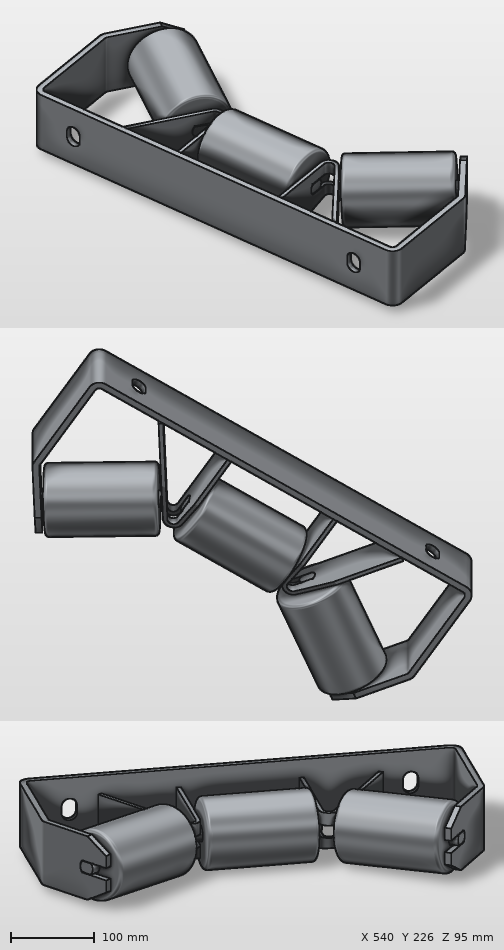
import cadquery as cq
import math

FRAME_WIDTH = 540.0
FRAME_HEIGHT = 81.5
FRAME_THICKNESS = 8.0
FRAME_BEND_RADIUS = 14.0
ARM_BEND_Y = 135.5
ARM_LENGTH = 99.0
ARM_CORNER_LENGTH = 30.0
ARM_CORNER_DEPTH = 17.5
WING_ANGLE = 35.0

MOUNT_SLOT_X = 208.5
MOUNT_SLOT_WIDTH = 19.0
MOUNT_SLOT_LENGTH = 27.5

ROLLER_LENGTH = 136.0
ROLLER_DIAMETER = 89.0
ROLLER_EDGE_RADIUS = 5.0
ROLLER_GAP = 4.5
SHAFT_DIAMETER = 20.0
SHAFT_FLAT_WIDTH = 14.0
COLLAR_LENGTH = 2.5
INNER_AXIS_Z = 34.0
MIDDLE_ROLLER_Y = 101.0

SLOT_WIDTH = 15.5
SLOT_END_RADIUS = 10.0

BRACKET_HEIGHT = 58.5
BRACKET_THICKNESS = 5.5
BRACKET_BEND_RADIUS = 12.5
BRACKET_BEND_Y = 116.5
BRACKET_TAPER_RISE = 9.5
BRACKET_TAPER_START_Y = 80.5

wing = math.radians(WING_ANGLE)
outward = cq.Vector(math.cos(wing), math.sin(wing), 0)
arm_direction = cq.Vector(-math.sin(wing), math.cos(wing), 0)
up = cq.Vector(0, 0, 1)

half_width = FRAME_WIDTH / 2
half_roller = ROLLER_LENGTH / 2
inner_shaft = ROLLER_GAP + BRACKET_THICKNESS
outer_axis_z = FRAME_HEIGHT / 2
leg_face_x = half_roller + ROLLER_GAP

bracket_bend_center = cq.Vector(leg_face_x + BRACKET_BEND_RADIUS, BRACKET_BEND_Y, 0)
seat_offset = BRACKET_BEND_Y - MIDDLE_ROLLER_Y
leg_face_start = bracket_bend_center + outward * BRACKET_BEND_RADIUS
side_seat = leg_face_start - arm_direction * seat_offset + up * INNER_AXIS_Z

arm_bend_center = cq.Vector(half_width - FRAME_BEND_RADIUS, ARM_BEND_Y, 0)
arm_face_start = arm_bend_center + outward * FRAME_BEND_RADIUS
arm_face_end = arm_face_start + arm_direction * ARM_LENGTH

leg_to_arm_face = (arm_face_start - side_seat).dot(outward)
tilt = math.atan((outer_axis_z - INNER_AXIS_Z) / leg_to_arm_face)
side_axis = outward * math.cos(tilt) + up * math.sin(tilt)
side_roller_center = side_seat + side_axis * leg_face_x
arm_seat = side_seat + side_axis * (leg_to_arm_face / math.cos(tilt))


def on_circle(center, radius, degrees):
    """XY point on a circle."""
    angle = math.radians(degrees)
    return (center.x + radius * math.cos(angle), center.y + radius * math.sin(angle))


def in_place(body):
    """The body itself, on the right."""
    return body


def mirrored(body):
    """Copy of a body on the other side of the YZ plane."""
    return body.mirror("YZ")


def shaft_slot(seat, toward_opening, into_plate, depth, run):
    """Cutter for a flat-sided slot that ends in a shallow arc around the shaft seat."""
    half = SLOT_WIDTH / 2
    arc_start = math.sqrt(SLOT_END_RADIUS**2 - half**2)
    plane = cq.Plane(origin=seat.toTuple(), xDir=toward_opening.toTuple(), normal=into_plate.toTuple())
    return (
        cq.Workplane(plane)
        .moveTo(run, -half)
        .lineTo(-arc_start, -half)
        .threePointArc((-SLOT_END_RADIUS, 0), (-arc_start, half))
        .lineTo(run, half)
        .close()
        .extrude(depth)
    )


def frame_half():
    """Right half of the bent bar, with its arm corners, shaft slot and mounting slot."""
    inner_radius = FRAME_BEND_RADIUS - FRAME_THICKNESS
    base_bend_center = cq.Vector(half_width - FRAME_BEND_RADIUS, FRAME_BEND_RADIUS, 0)
    arm_inner_end = arm_face_end - outward * FRAME_THICKNESS
    bar = (
        cq.Workplane("XY")
        .moveTo(0, 0)
        .lineTo(base_bend_center.x, 0)
        .threePointArc(
            on_circle(base_bend_center, FRAME_BEND_RADIUS, -45),
            on_circle(base_bend_center, FRAME_BEND_RADIUS, 0),
        )
        .lineTo(half_width, ARM_BEND_Y)
        .threePointArc(
            on_circle(arm_bend_center, FRAME_BEND_RADIUS, WING_ANGLE / 2),
            on_circle(arm_bend_center, FRAME_BEND_RADIUS, WING_ANGLE),
        )
        .lineTo(arm_face_end.x, arm_face_end.y)
        .lineTo(arm_inner_end.x, arm_inner_end.y)
        .lineTo(*on_circle(arm_bend_center, inner_radius, WING_ANGLE))
        .threePointArc(
            on_circle(arm_bend_center, inner_radius, WING_ANGLE / 2),
            on_circle(arm_bend_center, inner_radius, 0),
        )
        .lineTo(half_width - FRAME_THICKNESS, base_bend_center.y)
        .threePointArc(
            on_circle(base_bend_center, inner_radius, -45),
            on_circle(base_bend_center, inner_radius, -90),
        )
        .lineTo(0, FRAME_THICKNESS)
        .close()
        .extrude(FRAME_HEIGHT)
    )

    tip_plane = cq.Plane(
        origin=arm_face_end.toTuple(), xDir=(-arm_direction).toTuple(), normal=(-outward).toTuple()
    )
    for edge_z, inward in ((0, 1), (FRAME_HEIGHT, -1)):
        corner = (
            cq.Workplane(tip_plane)
            .polyline([
                (0, edge_z),
                (ARM_CORNER_LENGTH, edge_z),
                (0, edge_z + inward * ARM_CORNER_DEPTH),
            ])
            .close()
            .extrude(FRAME_THICKNESS)
        )
        bar = bar.cut(corner)

    bar = bar.cut(shaft_slot(arm_seat, arm_direction, -outward, FRAME_THICKNESS, ARM_LENGTH))

    mount_slot = (
        cq.Workplane("XZ", origin=(MOUNT_SLOT_X, 0, FRAME_HEIGHT / 2))
        .slot2D(MOUNT_SLOT_LENGTH, MOUNT_SLOT_WIDTH, 90)
        .extrude(-FRAME_THICKNESS)
    )
    return bar.cut(mount_slot)


def make_frame():
    right = frame_half()
    return right.union(mirrored(right))


def make_bracket():
    """Right bracket: an upright leg, a bend and an inclined leg whose end rests on the back plate."""
    inner_radius = BRACKET_BEND_RADIUS - BRACKET_THICKNESS
    bend_middle = (180 + WING_ANGLE) / 2
    inner_start = bracket_bend_center + outward * inner_radius
    leg_length = (inner_start.y - FRAME_THICKNESS) / math.cos(wing)
    leg_inner_end = inner_start - arm_direction * leg_length
    leg_outer_end = leg_face_start - arm_direction * leg_length
    strip = (
        cq.Workplane("XY")
        .moveTo(leg_face_x, FRAME_THICKNESS)
        .lineTo(leg_face_x, BRACKET_BEND_Y)
        .threePointArc(
            on_circle(bracket_bend_center, BRACKET_BEND_RADIUS, bend_middle),
            on_circle(bracket_bend_center, BRACKET_BEND_RADIUS, WING_ANGLE),
        )
        .lineTo(leg_outer_end.x, leg_outer_end.y)
        .lineTo(leg_inner_end.x, leg_inner_end.y)
        .lineTo(*on_circle(bracket_bend_center, inner_radius, WING_ANGLE))
        .threePointArc(
            on_circle(bracket_bend_center, inner_radius, bend_middle),
            on_circle(bracket_bend_center, inner_radius, 180),
        )
        .lineTo(leg_face_x + BRACKET_THICKNESS, FRAME_THICKNESS)
        .close()
        .extrude(BRACKET_HEIGHT)
    )

    slope = BRACKET_TAPER_RISE / (BRACKET_BEND_Y - BRACKET_TAPER_START_Y)
    bend_top_y = BRACKET_BEND_Y + BRACKET_BEND_RADIUS
    taper = (
        cq.Workplane("YZ")
        .polyline([
            (BRACKET_TAPER_START_Y, 0),
            (bend_top_y, 0),
            (bend_top_y, slope * (bend_top_y - BRACKET_TAPER_START_Y)),
        ])
        .close()
        .extrude(half_width)
    )
    strip = strip.cut(taper)

    middle_seat = cq.Vector(leg_face_x, MIDDLE_ROLLER_Y, INNER_AXIS_Z)
    run = seat_offset + BRACKET_BEND_RADIUS
    for seat, toward_bend, into_leg in (
        (middle_seat, cq.Vector(0, 1, 0), cq.Vector(1, 0, 0)),
        (side_seat, arm_direction, -outward),
    ):
        strip = strip.cut(shaft_slot(seat, toward_bend, into_leg, BRACKET_BEND_RADIUS, run))
    return strip


def make_roller(left_shaft, right_shaft):
    """Roller along X about the origin; the shaft ends stand out by the given lengths."""
    drum = (
        cq.Workplane("YZ", origin=(-half_roller, 0, 0))
        .circle(ROLLER_DIAMETER / 2)
        .extrude(ROLLER_LENGTH)
        .edges()
        .fillet(ROLLER_EDGE_RADIUS)
    )
    shaft_length = ROLLER_LENGTH + left_shaft + right_shaft
    shaft_start = (-half_roller - left_shaft, 0, 0)
    shaft = cq.Workplane("YZ", origin=shaft_start).circle(SHAFT_DIAMETER / 2).extrude(shaft_length)
    flats = (
        cq.Workplane("YZ", origin=shaft_start)
        .rect(SHAFT_DIAMETER, SHAFT_FLAT_WIDTH)
        .extrude(shaft_length)
    )
    collar = (
        cq.Workplane("YZ", origin=(-half_roller - COLLAR_LENGTH, 0, 0))
        .circle(SHAFT_DIAMETER / 2)
        .extrude(ROLLER_LENGTH + 2 * COLLAR_LENGTH)
    )
    return drum.union(shaft.intersect(flats)).union(collar)


def make_side_roller():
    """Right side roller, in place; its shaft ends are flush with the bracket leg and the arm."""
    outer_shaft = leg_to_arm_face - leg_face_x - half_roller
    return (
        make_roller(inner_shaft, outer_shaft)
        .rotate((0, 0, 0), (0, 1, 0), -math.degrees(tilt))
        .rotate((0, 0, 0), (0, 0, 1), WING_ANGLE)
        .translate(side_roller_center)
    )


frame = make_frame()

middle_roller = make_roller(inner_shaft, inner_shaft).translate((0, MIDDLE_ROLLER_Y, INNER_AXIS_Z))

brackets = []
side_rollers = []
for place in (in_place, mirrored):
    brackets.append(place(make_bracket()))
    side_rollers.append(place(make_side_roller()))

bodies = [frame, middle_roller, *brackets, *side_rollers]
result = cq.Compound.makeCompound([body.solids().val() for body in bodies])